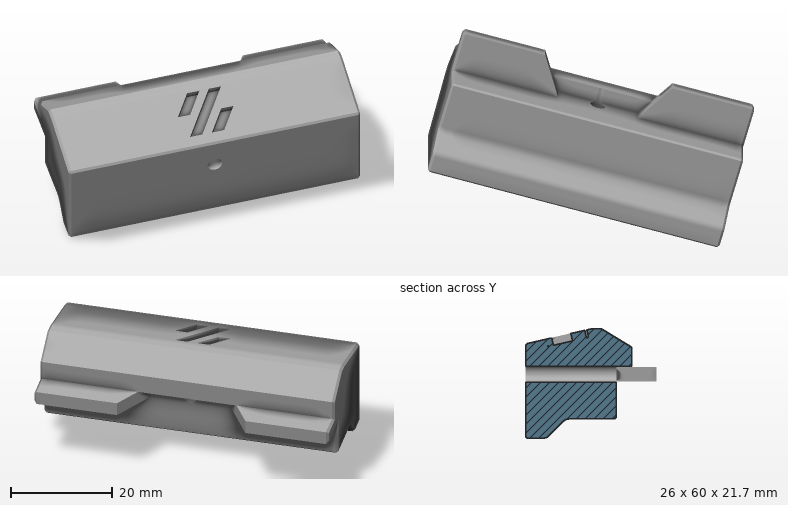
import cadquery as cq
import math

depth = 26.0
length = 60.0
height = 21.7

tab_reach = 4.9
lower_wall_x = 8.0
underside_z = 3.8
tab_bottom_z = 11.3
tab_top_z = 14.1
shoulder_z = 18.05
ridge_start_x = 10.9
ridge_end_x = 12.95
back_top_z = 18.7
foot_slope_top_x = 18.0
foot_slope_bottom_x = foot_slope_top_x + underside_z
foot_radius = 1.5
ridge_radius = 4.5
long_edge_chamfer = 0.35
end_chamfer = 0.5

gap_half_width = length / 2 - 16.9
gap_taper = 0.61

hole_diameter = 3.0
hole_z = (tab_bottom_z + tab_top_z) / 2

slot_left_x = 13.85
slot_pitch_x = 4.83
slot_width = 2.5
slot_slant = 0.68
slot_depth = 1.5
long_slot_y = 4.7
back_slot_y = 5.9
front_slot_y = 0.25


def edges_at(body, x, z):
    """Select the lengthwise edge that runs through the given section corner."""
    reach = 0.05
    box = cq.selectors.BoxSelector(
        (x - reach, -length, z - reach), (x + reach, length, z + reach)
    )
    return body.edges("|Y").edges(box)


def make_body():
    outline = [
        (0, tab_bottom_z),
        (0, tab_top_z),
        (tab_reach, tab_top_z),
        (tab_reach, shoulder_z),
        (ridge_start_x, height),
        (ridge_end_x, height),
        (depth, back_top_z),
        (depth, 0),
        (foot_slope_bottom_x, 0),
        (foot_slope_top_x, underside_z),
        (lower_wall_x, underside_z),
        (lower_wall_x, tab_bottom_z),
    ]
    body = cq.Workplane("XZ").polyline(outline).close().extrude(length / 2, both=True)
    body = edges_at(body, ridge_end_x, height).fillet(ridge_radius)
    for x, z in [(foot_slope_top_x, underside_z), (foot_slope_bottom_x, 0)]:
        body = edges_at(body, x, z).fillet(foot_radius)
    for x, z in [(depth, back_top_z), (depth, 0), (lower_wall_x, underside_z)]:
        body = edges_at(body, x, z).chamfer(long_edge_chamfer)
    return body.faces("<Y or >Y").chamfer(end_chamfer)


def make_tab_gap():
    inner_half_width = gap_half_width - gap_taper * lower_wall_x
    return (
        cq.Workplane("XY", origin=(0, 0, tab_bottom_z))
        .polyline([
            (0, -gap_half_width),
            (lower_wall_x, -inner_half_width),
            (lower_wall_x, inner_half_width),
            (0, gap_half_width),
        ])
        .close()
        .extrude(tab_top_z - tab_bottom_z)
    )


def make_hole():
    return cq.Workplane("YZ", origin=(0, 0, hole_z)).circle(hole_diameter / 2).extrude(depth)


def make_slot(left_x, top_y, run):
    """Parallelogram pocket cut square to the sloping top; run is its extent along X."""
    slope = math.atan2(height - back_top_z, depth - ridge_end_x)
    top = cq.Plane(
        origin=(ridge_end_x, 0, height),
        xDir=(math.cos(slope), 0, -math.sin(slope)),
        normal=(math.sin(slope), 0, math.cos(slope)),
    )
    left = (left_x - ridge_end_x) / math.cos(slope)
    right = (left_x + run - ridge_end_x) / math.cos(slope)
    fall = slot_slant * run
    return (
        cq.Workplane(top)
        .polyline([
            (left, top_y),
            (right, top_y - fall),
            (right, top_y - fall - slot_width),
            (left, top_y - slot_width),
        ])
        .close()
        .extrude(-slot_depth)
    )


result = make_body().cut(make_tab_gap()).cut(make_hole())
result = result.cut(make_slot(slot_left_x, long_slot_y, 2 * slot_pitch_x))
result = result.cut(make_slot(slot_left_x, front_slot_y, slot_pitch_x))
result = result.cut(make_slot(slot_left_x + slot_pitch_x, back_slot_y, slot_pitch_x))